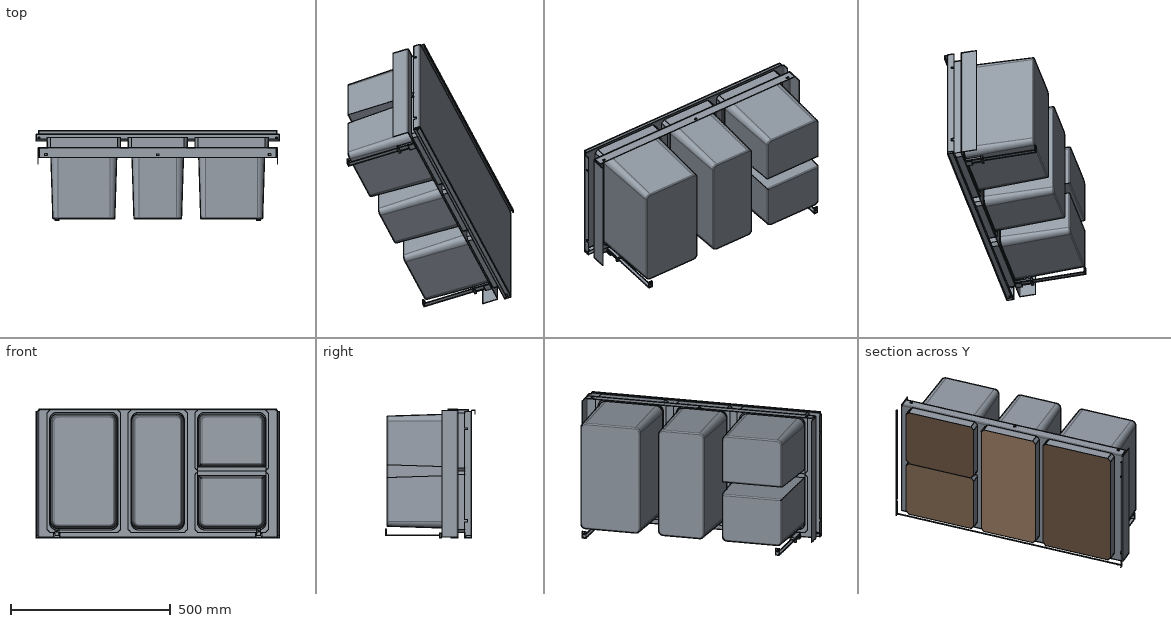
import cadquery as cq


width = 760.0
depth = 280.5
height = 402.0
sheet = 1.0

panel_back_y = -11.0
panel_front_y = -33.0
panel_side_top = 395.0
panel_corner = 4.0
panel_bend = 3.0
hook_width = 745.0
hook_top = 399.0
hook_drop = 12.0
ledge_z = 7.5
ledge_lip = 6.0
drain_hole = 4.0
drain_hole_x = 371.0
drain_hole_y = -22.0
side_slot_depth = 9.0
side_slot_rounding = 1.9
side_slots = [(340.5, 4.5), (53.0, 9.0)]

frame_width = 749.0
frame_back_y = -53.0
frame_bottom = 2.0
strip_front_y = -84.0
flange_front_y = -104.0
frame_bend = 3.0
corner_relief = 4.0
strip_slot_length = 7.5
strip_slot_width = 4.5
strip_slot_pitch = 349.5
strip_slot_y = -75.0
wide_opening = 214.0
narrow_opening = 166.5
opening_height = 368.0
opening_radius = 24.0

collar_back_y = -21.0
collar_bottom = 16.0
collar_top = 400.5
collar_chamfer = 10.0
bin_front_y = -276.0
wall_margin_x = 11.0
wall_margin_z = 13.0
wall_radius = 23.0
wall_taper = 1.8
floor_fillet = 4.0
column_x = 231.0
wide_bin = 229.5
narrow_bin = 185.0

slide_x = 315.5
guide_width = 20.0
guide_top = 14.5
guide_front_y = -111.0
guide_foot_back = 20.5
guide_foot_front = 6.0
guide_body_width = 15.0
guide_arch = 4.5
arm_width = 12.0
arm_bottom = 7.0
arm_thickness = 2.0
arm_tip_top = 28.0
arm_tip_thickness = 4.0
tip_hole_diameter = 4.5
tip_hole_z = 20.5

collar_mid = (collar_bottom + collar_top) / 2
frame_front_y = frame_back_y - sheet


def box(x_range, y_range, z_range):
    """Axis-aligned block spanning the given ranges."""
    sizes = [abs(b - a) for a, b in (x_range, y_range, z_range)]
    corner = [min(r) for r in (x_range, y_range, z_range)]
    return cq.Workplane("XY").box(*sizes, centered=False).translate(tuple(corner))


def centred_box(x_size, y_range, z_range, x=0):
    """Block centred on x, spanning the given Y and Z ranges."""
    return box((x - x_size / 2, x + x_size / 2), y_range, z_range)


def facing_front(y):
    """Sketch plane at y whose extrusions run toward -Y."""
    return cq.Workplane("XZ", origin=(0, y, 0))


def make_panel():
    y_range = (panel_back_y, panel_front_y)
    tray = centred_box(width, y_range, (0, panel_side_top))
    tray = tray.edges("|Z and >Y").fillet(panel_bend)
    hollow = centred_box(
        width - 2 * sheet, (panel_back_y - sheet, panel_front_y), (0, panel_side_top)
    )
    hollow = hollow.edges("|Z and >Y").fillet(panel_bend - sheet)
    panel = tray.cut(hollow).edges("|X and >Z and <Y").fillet(panel_corner)

    lip_y = panel_front_y + ledge_lip
    ledge = (
        cq.Workplane("YZ")
        .moveTo(panel_back_y - sheet / 2, ledge_z)
        .lineTo(lip_y, ledge_z)
        .lineTo(panel_front_y, ledge_z - ledge_lip)
        .lineTo(panel_front_y, ledge_z - ledge_lip - sheet)
        .lineTo(lip_y, ledge_z - sheet)
        .lineTo(panel_back_y - sheet / 2, ledge_z - sheet)
        .close()
        .extrude(width / 2, both=True)
        .intersect(tray)
    )
    panel = panel.union(ledge)

    hook = centred_box(hook_width, (0, panel_back_y - sheet), (hook_top - hook_drop, hook_top))
    hook = hook.edges("|X and >Z and <Y").fillet(panel_bend)
    hook = hook.cut(
        centred_box(
            hook_width,
            (-sheet, panel_back_y),
            (hook_top - hook_drop, hook_top - sheet),
        )
    )
    panel = panel.union(hook)

    for side in (-1, 1):
        panel = panel.cut(
            centred_box(
                drain_hole,
                (drain_hole_y - drain_hole / 2, drain_hole_y + drain_hole / 2),
                (0, 2 * ledge_z),
                side * drain_hole_x,
            )
        )

    for slot_z, slot_height in side_slots:
        slot = centred_box(
            width,
            (panel_front_y, panel_front_y + side_slot_depth),
            (slot_z - slot_height / 2, slot_z + slot_height / 2),
        )
        panel = panel.cut(slot.edges("|X and >Y").fillet(side_slot_rounding))
    return panel


def make_frame():
    shell = centred_box(frame_width, (frame_back_y, flange_front_y), (frame_bottom, height))
    shell = shell.edges("(|Z or (|X and >Z)) and >Y").fillet(frame_bend)
    hollow = centred_box(
        frame_width - 2 * sheet, (frame_front_y, flange_front_y), (frame_bottom, height - sheet)
    )
    hollow = hollow.edges("(|Z or (|X and >Z)) and >Y").fillet(frame_bend - sheet)
    frame = shell.cut(hollow)

    frame = frame.cut(
        centred_box(
            frame_width - 2 * sheet,
            (strip_front_y, flange_front_y),
            (height - 2 * sheet, height),
        )
    )

    for side in (-1, 1):
        relief = centred_box(
            2 * corner_relief,
            (frame_back_y, flange_front_y),
            (height - corner_relief, height),
            side * frame_width / 2,
        )
        frame = frame.cut(relief)

    openings = ((-column_x, wide_opening), (0, narrow_opening), (column_x, wide_opening))
    for x, opening_width in openings:
        opening = (
            facing_front(frame_back_y)
            .center(x, collar_mid)
            .rect(opening_width, opening_height)
            .extrude(sheet)
            .edges("|Y")
            .fillet(opening_radius)
        )
        frame = frame.cut(opening)

    for x in (-strip_slot_pitch, 0, strip_slot_pitch):
        frame = frame.cut(
            centred_box(
                strip_slot_length,
                (strip_slot_y - strip_slot_width / 2, strip_slot_y + strip_slot_width / 2),
                (height - sheet, height),
                x,
            )
        )
    return frame


def make_bin(x, collar_width, z_range, rounded_corners):
    """Collar resting on the frame, then a tapered body reaching through it.

    rounded_corners selects the body corners to round; an empty selector takes all four.
    """
    z_mid = sum(z_range) / 2
    collar_height = z_range[1] - z_range[0]
    collar = (
        facing_front(collar_back_y)
        .center(x, z_mid)
        .rect(collar_width, collar_height)
        .extrude(collar_back_y - frame_back_y)
        .edges("|Y")
        .chamfer(collar_chamfer)
    )
    profile = (
        cq.Sketch()
        .rect(collar_width - 2 * wall_margin_x, collar_height - 2 * wall_margin_z)
        .vertices(rounded_corners)
        .fillet(wall_radius)
    )
    body = (
        facing_front(frame_back_y)
        .center(x, z_mid)
        .placeSketch(profile)
        .extrude(frame_back_y - bin_front_y, taper=wall_taper)
        .faces("<Y")
        .edges()
        .fillet(floor_fillet)
    )
    return collar.union(body)


def make_arm(x):
    """Flat bar along Y with an upturned front tip."""
    bar = centred_box(
        arm_width, (frame_front_y, -depth), (arm_bottom, arm_bottom + arm_thickness), x
    )
    tip = centred_box(
        arm_width, (-depth, arm_tip_thickness - depth), (arm_bottom, arm_tip_top), x
    )
    hole = (
        facing_front(arm_tip_thickness - depth)
        .center(x, tip_hole_z)
        .circle(tip_hole_diameter / 2)
        .extrude(arm_tip_thickness)
    )
    return bar.union(tip).cut(hole)


def make_guide(x, arm):
    """Slotted runner for the arm, carried by a wide foot at each end."""
    runner = centred_box(
        guide_body_width, (frame_front_y, guide_front_y), (guide_arch, guide_top), x
    )
    back_foot = centred_box(
        guide_width, (frame_front_y, frame_front_y - guide_foot_back), (0, guide_arch), x
    )
    front_foot = centred_box(
        guide_width, (guide_front_y + guide_foot_front, guide_front_y), (0, guide_top), x
    )
    return runner.union(back_foot).union(front_foot).cut(arm)


panel = make_panel()
frame = make_frame()

tall = (collar_bottom, collar_top)
lower = (collar_bottom, collar_mid)
upper = (collar_mid, collar_top)
bin_layout = [
    (-column_x, wide_bin, tall, ""),
    (0, narrow_bin, tall, ""),
    (column_x, wide_bin, lower, "<Y"),
    (column_x, wide_bin, upper, ">Y"),
]
bins = [make_bin(*place) for place in bin_layout]

arms = [make_arm(x) for x in (-slide_x, slide_x)]
guides = [make_guide(x, arm) for x, arm in zip((-slide_x, slide_x), arms)]

bodies = [panel, frame, *bins, *arms, *guides]
result = cq.Compound.makeCompound([body.solids().val() for body in bodies])